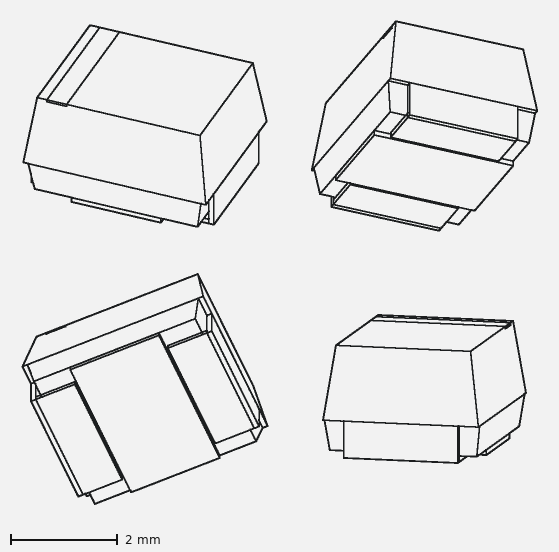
import cadquery as cq

length = 3.7
width = 3.0
height = 2.1

upper_height = 1.4
top_inset = 0.2
terminal_thickness = 0.1
lower_bottom_inset = 0.08
parting_z = height - upper_height

upper_top_length = length - 2 * top_inset
upper_top_width = width - 2 * top_inset
lower_top_length = length - 2 * terminal_thickness
lower_bottom_length = upper_top_length
lower_bottom_width = width - 2 * lower_bottom_inset

band_start = 0.4
band_width = 0.4
band_depth = 0.045

terminal_width = 2.205
foot_length = 0.8
pad_gap = 0.045
pad_length = lower_top_length - 2 * (foot_length + pad_gap)


def tapered_block(bottom_z, bottom_size, top_z, top_size):
    """Loft between two centred rectangles."""
    return (
        cq.Workplane("XY", origin=(0, 0, bottom_z))
        .rect(*bottom_size)
        .workplane(offset=top_z - bottom_z)
        .rect(*top_size)
        .loft(ruled=True)
    )


def block(center_x, bottom_z, size_x, size_y, size_z):
    """Box centred on Y that rises from bottom_z."""
    return (
        cq.Workplane("XY", origin=(center_x, 0, bottom_z))
        .box(size_x, size_y, size_z, centered=(True, True, False))
    )


def make_band():
    """Rectangular inlay as wide as the top face and flush with it."""
    center_x = -length / 2 + band_start + band_width / 2
    return block(center_x, height - band_depth, band_width, upper_top_width, band_depth)


def make_upper_case(inlay):
    """Tapered upper case with a recess that fits the inlay."""
    case = tapered_block(
        parting_z, (length, width), height, (upper_top_length, upper_top_width)
    )
    return case.cut(inlay)


def make_lower_case():
    return tapered_block(
        terminal_thickness,
        (lower_bottom_length, lower_bottom_width),
        parting_z,
        (lower_top_length, width),
    )


def make_terminal_wall(side):
    """Upright end plate; side is -1 or +1 along X."""
    center_x = side * (length - terminal_thickness) / 2
    return block(center_x, 0, terminal_thickness, terminal_width, parting_z)


def make_terminal_foot(side):
    """Flat plate under the case that meets the end plate."""
    center_x = side * (lower_top_length - foot_length) / 2
    return block(center_x, 0, foot_length, terminal_width, terminal_thickness)


def make_center_pad():
    return block(0, 0, pad_length, lower_bottom_width, terminal_thickness)


band = make_band()
upper_case = make_upper_case(band)
lower_case = make_lower_case()
center_pad = make_center_pad()

terminal_solids = []
for side in (-1, 1):
    terminal_solids.append(make_terminal_wall(side).val())
    terminal_solids.append(make_terminal_foot(side).val())

result = cq.Compound.makeCompound(
    [
        upper_case.solids().val(),
        band.val(),
        lower_case.val(),
        center_pad.val(),
        *terminal_solids,
    ]
)